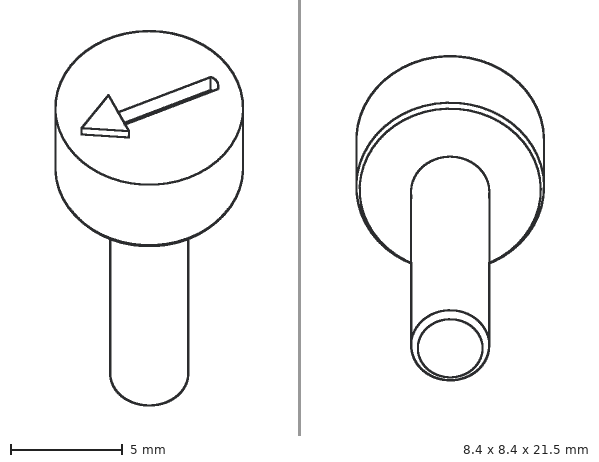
import cadquery as cq

total_height = 21.5
head_diameter = 8.4
head_height = 5.0
shank_diameter = 3.5
arrow_height = 0.5

head_chamfer_height = 0.3
head_chamfer_width = 0.15
tip_chamfer = 0.3
neck_height = 0.2
neck_depth = 0.09

arrow_base_y = -1.5
arrow_tip_y = -3.35
arrow_tip_x = 0.05
arrow_width = 2.17
slot_width = 0.73
slot_end_y = 3.35
slot_end_rise = 0.15
slot_depth = 1.0

head_radius = head_diameter / 2
shank_radius = shank_diameter / 2
neck_radius = shank_radius - neck_depth
head_top = total_height - arrow_height
head_bottom = head_top - head_height


def make_body():
    """Turned head and shank, with a round relief groove under the head."""
    return (
        cq.Workplane("XZ")
        .lineTo(shank_radius - tip_chamfer, 0)
        .lineTo(shank_radius, tip_chamfer)
        .lineTo(shank_radius, head_bottom - neck_height)
        .threePointArc((neck_radius, head_bottom - neck_height / 2), (shank_radius, head_bottom))
        .lineTo(head_radius - head_chamfer_width, head_bottom)
        .lineTo(head_radius, head_bottom + head_chamfer_height)
        .lineTo(head_radius, head_top)
        .lineTo(0, head_top)
        .close()
        .revolve(360, (0, 0, 0), (0, 1, 0))
    )


def make_arrow_slot():
    """Sunken arrow shaft with a shallow arc at its +Y end."""
    half_width = slot_width / 2
    arc_start_y = slot_end_y - slot_end_rise
    return (
        cq.Workplane("XY", origin=(0, 0, head_top - slot_depth))
        .moveTo(-half_width, arrow_base_y)
        .lineTo(half_width, arrow_base_y)
        .lineTo(half_width, arc_start_y)
        .threePointArc((0, slot_end_y), (-half_width, arc_start_y))
        .close()
        .extrude(slot_depth)
    )


def make_arrow_point():
    """Raised triangle on top of the head."""
    half_width = arrow_width / 2
    return (
        cq.Workplane("XY", origin=(0, 0, head_top))
        .moveTo(-half_width, arrow_base_y)
        .lineTo(arrow_tip_x, arrow_tip_y)
        .lineTo(half_width, arrow_base_y)
        .close()
        .extrude(arrow_height)
    )


result = make_body().cut(make_arrow_slot()).union(make_arrow_point())